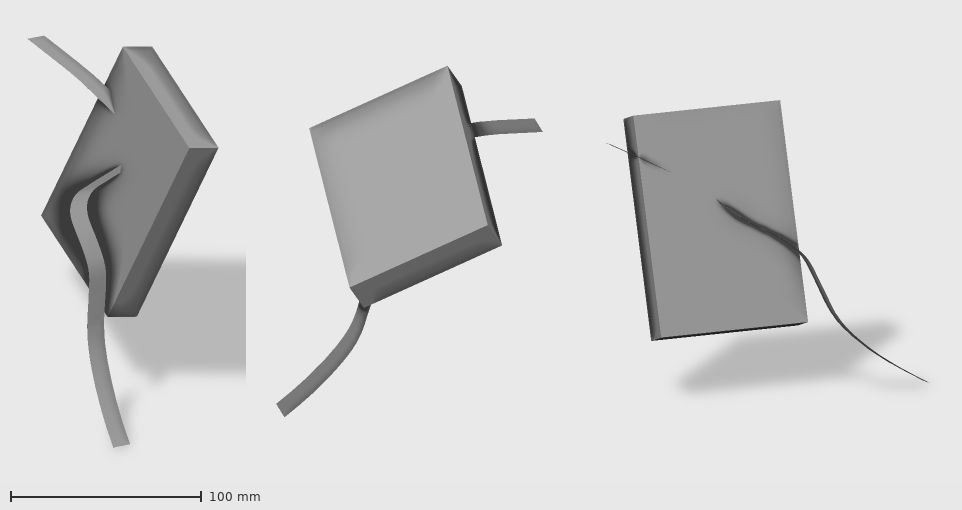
import cadquery as cq
import math

SLAB_WIDTH = 80.9
SLAB_THICKNESS = 18.55
SLAB_LENGTH = 117.4
SLAB_TILT = 23.85

STRAP_WIDTH = 10.0
STRAP_RISE = 12.0
STRAP_THICKNESS = 0.05
THICKNESS_ANGLE = 60.0

UPPER_EDGE = [
    (-66.5, -27.7, 58.2),
    (-58.6, -21.5, 52.6),
    (-42.6, -9.5, 41.6),
    (-32.7, -3.4, 34.7),
    (-23.4, 2.2, 28.3),
    (-20.2, 4.5, 26.2),
]

LOWER_EDGE = [
    (-2.7, 3.2, 14.5),
    (-1.2, -4.7, 13.7),
    (0.9, -15.2, 12.8),
    (3.1, -26.2, 12.0),
    (5.3, -33.7, 11.0),
    (9.3, -38.7, 9.2),
    (15.3, -41.5, 6.1),
    (23.3, -41.9, 1.2),
    (31.3, -41.7, -5.1),
    (37.3, -41.9, -11.7),
    (41.3, -43.2, -19.5),
    (45.2, -45.7, -29.1),
    (49.2, -48.2, -38.6),
    (54.2, -50.3, -46.7),
    (61.2, -52.2, -54.4),
    (73.2, -54.4, -64.8),
    (86.2, -56.1, -73.7),
    (99.3, -57.0, -81.8),
]


def make_slab():
    slab = cq.Workplane("XY").box(SLAB_WIDTH, SLAB_THICKNESS, SLAB_LENGTH)
    return slab.rotate((0, 0, 0), (1, 0, 0), -SLAB_TILT)


def make_strap(edge_points):
    """Extrude the front edge back across the width, then through the thickness."""
    rise = math.radians(STRAP_RISE)
    across = cq.Vector(0, math.cos(rise), -math.sin(rise)) * STRAP_WIDTH
    slant = math.radians(THICKNESS_ANGLE)
    through = cq.Vector(-math.cos(slant), 0, -math.sin(slant)) * STRAP_THICKNESS

    front_edge = cq.Edge.makeSpline([cq.Vector(*point) for point in edge_points])
    rear_edge = front_edge.translate(across)
    sheet = cq.Face.makeRuledSurface(front_edge, rear_edge)
    return cq.Solid.extrudeLinear(sheet, through)


result = make_slab()
for strap_edge in (UPPER_EDGE, LOWER_EDGE):
    result = result.union(cq.Workplane(obj=make_strap(strap_edge)))